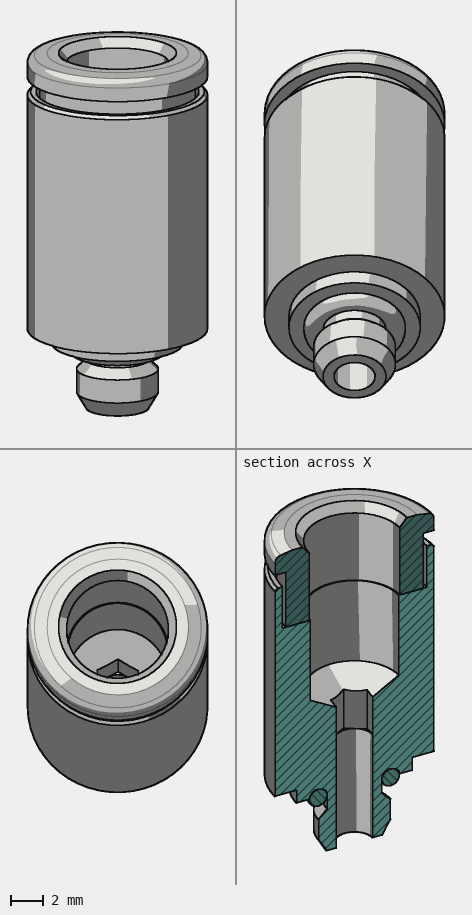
import cadquery as cq
import math

total_height = 22.5
tip_taper_top = 1.0
tip_land_top = 2.45
neck_bottom = 3.05
collar_bottom = 4.07
housing_bottom = 5.0
housing_top = 20.05
flange_bottom = 21.0

outer_diameter = 11.0
housing_chamfer = 0.2
collar_diameter = 8.0
stem_neck_diameter = 3.8
stem_diameter = 5.0
tip_diameter = 3.85
recess_diameter = 9.95
recess_depth = 3.0
tube_bore_diameter = 6.1
tube_seat_level = 11.25
seat_angle = 30.0
through_diameter = 2.5
hex_across_flats = through_diameter
hex_bottom = 7.5

seal_diameter = 6.2
seal_section_radius = (seal_diameter - stem_neck_diameter) / 4
seal_center_radius = (seal_diameter + stem_neck_diameter) / 4
seal_bottom = 3.4
seal_level = seal_bottom + seal_section_radius

button_neck_diameter = 9.5
button_bore_diameter = 6.2
lead_in_diameter = 7.2
lead_in_depth = 0.58
top_land_diameter = 8.62
crown_angle = math.radians(10)
crown_radius = 0.5


def revolve_profile(profile):
    """Turn an XZ half profile about the Z axis."""
    return profile.close().revolve(360, (0, 0, 0), (0, 1, 0))


def cylinder(diameter, bottom, top):
    return cq.Workplane("XY").workplane(offset=bottom).circle(diameter / 2).extrude(top - bottom)


def make_seal():
    return (
        cq.Workplane("XZ")
        .center(seal_center_radius, seal_level)
        .circle(seal_section_radius)
        .revolve(360, (-seal_center_radius, 0, 0), (-seal_center_radius, 1, 0))
    )


def make_bore():
    """Tube bore with a conical seat, hexagon socket and through passage."""
    seat_drop = (tube_bore_diameter - through_diameter) / 2 * math.tan(math.radians(seat_angle))
    tube_space = revolve_profile(
        cq.Workplane("XZ")
        .moveTo(0, tube_seat_level - seat_drop)
        .lineTo(through_diameter / 2, tube_seat_level - seat_drop)
        .lineTo(tube_bore_diameter / 2, tube_seat_level)
        .lineTo(tube_bore_diameter / 2, housing_top)
        .lineTo(0, housing_top)
    )
    hex_across_corners = hex_across_flats / math.cos(math.pi / 6)
    hex_socket = (
        cq.Workplane("XY")
        .workplane(offset=hex_bottom)
        .polygon(6, hex_across_corners)
        .extrude(tube_seat_level - hex_bottom)
    )
    passage = cylinder(through_diameter, 0, tube_seat_level)
    return tube_space.union(hex_socket).union(passage)


def make_housing(seal):
    """Sleeve, collar and plug-in stem, hollowed for the tube, button and seal."""
    outer_radius = outer_diameter / 2
    body = revolve_profile(
        cq.Workplane("XZ")
        .moveTo(0, 0)
        .lineTo(tip_diameter / 2, 0)
        .lineTo(stem_diameter / 2, tip_taper_top)
        .lineTo(stem_diameter / 2, tip_land_top)
        .lineTo(stem_neck_diameter / 2, neck_bottom)
        .lineTo(stem_neck_diameter / 2, collar_bottom)
        .lineTo(collar_diameter / 2, collar_bottom)
        .lineTo(collar_diameter / 2, housing_bottom)
        .lineTo(outer_radius, housing_bottom)
        .lineTo(outer_radius, housing_top - housing_chamfer)
        .lineTo(outer_radius - housing_chamfer, housing_top)
        .lineTo(0, housing_top)
    )
    button_recess = cylinder(recess_diameter, housing_top - recess_depth, housing_top)
    return body.cut(make_bore()).cut(button_recess).cut(seal)


def make_button():
    """Flanged release button standing on the floor of the housing recess."""
    outer_radius = outer_diameter / 2
    button_bottom = housing_top - recess_depth

    arc_center_radius = outer_radius - crown_radius
    crown_end_radius = arc_center_radius + crown_radius * math.sin(crown_angle)
    crown_end_level = total_height - (crown_end_radius - top_land_diameter / 2) * math.tan(crown_angle)
    arc_center_level = crown_end_level - crown_radius * math.cos(crown_angle)
    middle_angle = (math.pi / 2 - crown_angle) / 2
    arc_middle = (
        arc_center_radius + crown_radius * math.cos(middle_angle),
        arc_center_level + crown_radius * math.sin(middle_angle),
    )
    return revolve_profile(
        cq.Workplane("XZ")
        .moveTo(button_bore_diameter / 2, button_bottom)
        .lineTo(button_neck_diameter / 2, button_bottom)
        .lineTo(button_neck_diameter / 2, flange_bottom)
        .lineTo(outer_radius, flange_bottom)
        .lineTo(outer_radius, arc_center_level)
        .threePointArc(arc_middle, (crown_end_radius, crown_end_level))
        .lineTo(top_land_diameter / 2, total_height)
        .lineTo(lead_in_diameter / 2, total_height)
        .lineTo(button_bore_diameter / 2, total_height - lead_in_depth)
    )


seal = make_seal()
housing = make_housing(seal)
button = make_button()
result = cq.Compound.makeCompound([housing.val(), seal.val(), button.val()])